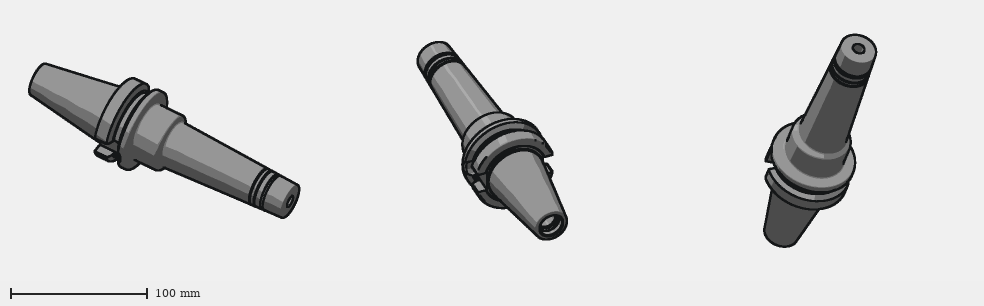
import cadquery as cq
import math

length = 215.5

taper_end_radius = 12.7
taper_end_round = 0.9
taper_end = 65.0
taper_slope = 7 / 24
taper_big_radius = taper_end_radius + taper_end * taper_slope / 2
neck_radius = 21.8

flange_start = 66.3
flange_end = 92.2
flange_radius = 31.5
flange_front_round = 1.0
flange_back_round = 1.3
face_recess_radius = 24.8
face_recess_depth = 0.6
face_recess_chamfer = 0.32
recess_floor = flange_start + face_recess_depth
groove_start = 79.3
groove_end = 84.5
groove_floor_radius = 25.2
groove_flank_radius = 27.0
flank_run = (flange_radius - groove_flank_radius) * math.tan(math.radians(30))

collar_radius = 44.5 / 2
collar_end = 113.0
collar_root_round = 2.0
collar_edge_round = 2.0

nose_start = 115.7
nose_start_radius = 18.0
nose_end_radius = 13.4
nose_tip_round = 0.5
nose_slope = (nose_start_radius - nose_end_radius) / (length - nose_start)
ring_grooves = ((189.0, 0.6), (192.8, 0.6), (198.2, 2.2))
ring_depth = 0.2

slot_width = 16.2
slot_floor = 22.5
slot_end = 88.3
slot_mouth_offset = 1.3
slot_mouth_depth = 2.0

mouth_radius = 9.5
mouth_chamfer = 0.6
socket_radius = mouth_radius - mouth_chamfer
socket_depth = 5.5
thread_radius = 17.0 / 2
thread_depth = 8.5
pilot_radius = 13.5 / 2
pilot_depth = 25.8
bore_radius = 8.8 / 2
cone_end = pilot_depth + pilot_radius - bore_radius


def nose_radius(x):
    return nose_start_radius - nose_slope * (x - nose_start)


def revolve_profile(points):
    """Revolve a closed outline of (x, radius) points around the X axis."""
    return cq.Workplane("XY").polyline(points).close().revolve(360, (0, 0, 0), (1, 0, 0))


def revolve_rounded(corners):
    """Revolve (x, radius, corner rounding) points; a rounding of 0 is sharp."""
    profile = cq.Workplane("XY").moveTo(*corners[0][:2])
    for before, corner, after in zip(corners, corners[1:], corners[2:]):
        point = cq.Vector(*corner[:2])
        rounding = corner[2]
        if rounding == 0:
            profile = profile.lineTo(point.x, point.y)
            continue
        back = (cq.Vector(*before[:2]) - point).normalized()
        ahead = (cq.Vector(*after[:2]) - point).normalized()
        half_angle = back.getAngle(ahead) / 2
        tangent_length = rounding / math.tan(half_angle)
        start = point + back * tangent_length
        end = point + ahead * tangent_length
        apex_distance = rounding / math.sin(half_angle) - rounding
        middle = point + (back + ahead).normalized() * apex_distance
        profile = profile.lineTo(start.x, start.y)
        profile = profile.threePointArc((middle.x, middle.y), (end.x, end.y))
    profile = profile.lineTo(*corners[-1][:2])
    return profile.close().revolve(360, (0, 0, 0), (1, 0, 0))


def make_body():
    return revolve_rounded([
        (0, 0, 0),
        (0, taper_end_radius, taper_end_round),
        (taper_end, taper_big_radius, 0),
        (taper_end, neck_radius, 0),
        (recess_floor, neck_radius, 0),
        (recess_floor, face_recess_radius - face_recess_chamfer, 0),
        (flange_start + face_recess_chamfer, face_recess_radius - face_recess_chamfer, 0),
        (flange_start, face_recess_radius, 0),
        (flange_start, flange_radius, flange_front_round),
        (groove_start - flank_run, flange_radius, 0),
        (groove_start, groove_flank_radius, 0),
        (groove_start, groove_floor_radius, 0),
        (groove_end, groove_floor_radius, 0),
        (groove_end, groove_flank_radius, 0),
        (groove_end + flank_run, flange_radius, 0),
        (flange_end, flange_radius, flange_back_round),
        (flange_end, collar_radius, collar_root_round),
        (collar_end, collar_radius, collar_edge_round),
        (nose_start, nose_start_radius, collar_edge_round),
        (length, nose_end_radius, nose_tip_round),
        (length, 0, 0),
    ])


def ring_groove(start, width):
    end = start + width
    return revolve_profile([
        (start, nose_radius(start) - ring_depth),
        (start, flange_radius),
        (end, flange_radius),
        (end, nose_radius(end) - ring_depth),
    ])


def slot_outline(distance):
    """Round-ended slot outline, at a distance from the axis on the -Y side."""
    radius = slot_width / 2
    centre = slot_end - radius
    return (
        cq.Workplane("XZ", origin=(0, -distance, 0))
        .moveTo(taper_end, -radius)
        .lineTo(centre, -radius)
        .threePointArc((slot_end, 0), (centre, radius))
        .lineTo(taper_end, radius)
        .close()
    )


def drive_slot():
    slot = slot_outline(slot_floor).extrude(flange_radius - slot_floor)
    taper_angle = math.degrees(math.atan2(slot_mouth_offset, slot_mouth_depth))
    mouth = slot_outline(flange_radius - slot_mouth_depth).extrude(
        slot_mouth_depth, taper=-taper_angle
    )
    return slot.union(mouth)


def stepped_bore():
    return revolve_profile([
        (0, 0),
        (0, mouth_radius),
        (mouth_chamfer, socket_radius),
        (socket_depth, socket_radius),
        (socket_depth, thread_radius),
        (thread_depth, thread_radius),
        (thread_depth, pilot_radius),
        (pilot_depth, pilot_radius),
        (cone_end, bore_radius),
        (length, bore_radius),
        (length, 0),
    ])


result = make_body()
for groove_position, groove_width in ring_grooves:
    result = result.cut(ring_groove(groove_position, groove_width))
for side_angle in (0, 180):
    result = result.cut(drive_slot().rotate((0, 0, 0), (1, 0, 0), side_angle))
result = result.cut(stepped_bore())